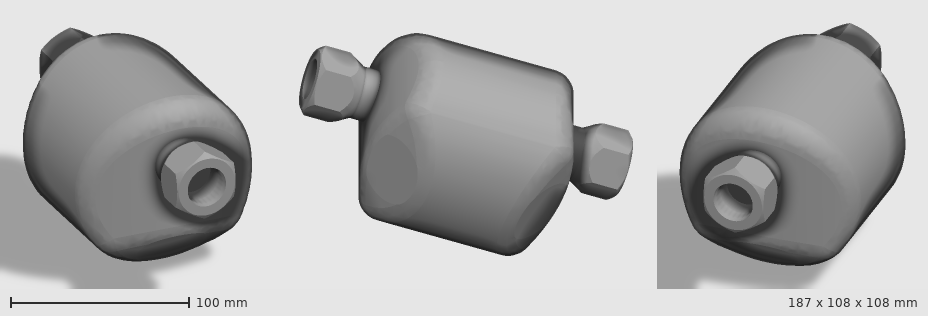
import cadquery as cq
import math

body_diameter = 108
body_half_length = 58
end_radius = 96
edge_fillet = 14

corner_offset = 83
crown_radius = 250
flat_radius = 20.6
flat_drop = 38.3

overall_length = 187
fitting_height = 19
neck_diameter = 30
hex_flats = 36
neck_end = 65.7
cone_angle = 30
outer_face_diameter = 34.7
outer_chamfer_length = 3.0
bore_diameter = 22.63
bore_mouth_diameter = 23.6
bore_taper_depth = 12
bore_depth = 20

body_radius = body_diameter / 2
half_length = overall_length / 2
hex_corners = hex_flats / math.cos(math.radians(30))


def end_outline():
    """Side outline seen from above: straight flanks closed by bulged ends."""
    end_rise = end_radius - math.sqrt(end_radius**2 - body_radius**2)
    shoulder = body_half_length - end_rise
    return (
        cq.Workplane("XY")
        .moveTo(-shoulder, body_radius)
        .lineTo(shoulder, body_radius)
        .threePointArc((body_half_length, 0), (shoulder, -body_radius))
        .lineTo(-shoulder, -body_radius)
        .threePointArc((-body_half_length, 0), (-shoulder, body_radius))
        .close()
        .extrude(body_radius, both=True)
    )


def slope_crown():
    """Large sphere whose cap crowns the +X slope around the flat spot."""
    centre_distance = math.sqrt(crown_radius**2 - flat_radius**2)
    axis_shift = centre_distance / math.sqrt(2)
    flat_x = corner_offset - flat_drop
    return (
        cq.Workplane("XY")
        .sphere(crown_radius)
        .rotate((0, 0, 0), (0, 0, 1), 180)
        .translate((flat_x - axis_shift, 0, axis_shift - flat_drop))
    )


def slope_limits():
    """Prism with the 45 degree planes of the flat spots at its lower corners."""
    slope_foot = corner_offset - body_radius
    slope_top = body_half_length - corner_offset
    return (
        cq.Workplane("XZ")
        .polyline(
            [
                (-body_half_length, body_radius),
                (body_half_length, body_radius),
                (body_half_length, slope_top),
                (slope_foot, -body_radius),
                (-slope_foot, -body_radius),
                (-body_half_length, slope_top),
            ]
        )
        .close()
        .extrude(body_radius, both=True)
    )


def body():
    barrel = (
        cq.Workplane("YZ").circle(body_radius).extrude(body_half_length, both=True)
    )
    crown = slope_crown()
    sharp_body = (
        barrel.intersect(end_outline())
        .intersect(crown)
        .intersect(crown.mirror("YZ"))
    )
    rounded_body = sharp_body.edges("not |X").fillet(edge_fillet)
    return rounded_body.intersect(slope_limits())


def fitting():
    """Hexagonal connection at the +X end, with neck and blind tapered bore."""
    cone_rise = (hex_corners - neck_diameter) / 2
    cone_end = neck_end + cone_rise / math.tan(math.radians(cone_angle))
    envelope = (
        cq.Workplane("XY")
        .polyline(
            [
                (0, 0),
                (half_length, 0),
                (half_length, outer_face_diameter / 2),
                (half_length - outer_chamfer_length, hex_corners / 2),
                (cone_end, hex_corners / 2),
                (neck_end, neck_diameter / 2),
                (0, neck_diameter / 2),
            ]
        )
        .close()
        .revolve(360, (0, 0), (1, 0))
    )
    prism = (
        cq.Workplane("YZ").polygon(6, hex_corners).extrude(half_length)
        .rotate((0, 0, 0), (1, 0, 0), 90)
    )
    bore = (
        cq.Workplane("XY")
        .polyline(
            [
                (half_length, 0),
                (half_length, bore_mouth_diameter / 2),
                (half_length - bore_taper_depth, bore_diameter / 2),
                (half_length - bore_depth, bore_diameter / 2),
                (half_length - bore_depth, 0),
            ]
        )
        .close()
        .revolve(360, (0, 0), (1, 0))
    )
    return envelope.intersect(prism).cut(bore).translate((0, 0, fitting_height))


right_fitting = fitting()
left_fitting = right_fitting.mirror("YZ")
result = body().union(right_fitting).union(left_fitting)